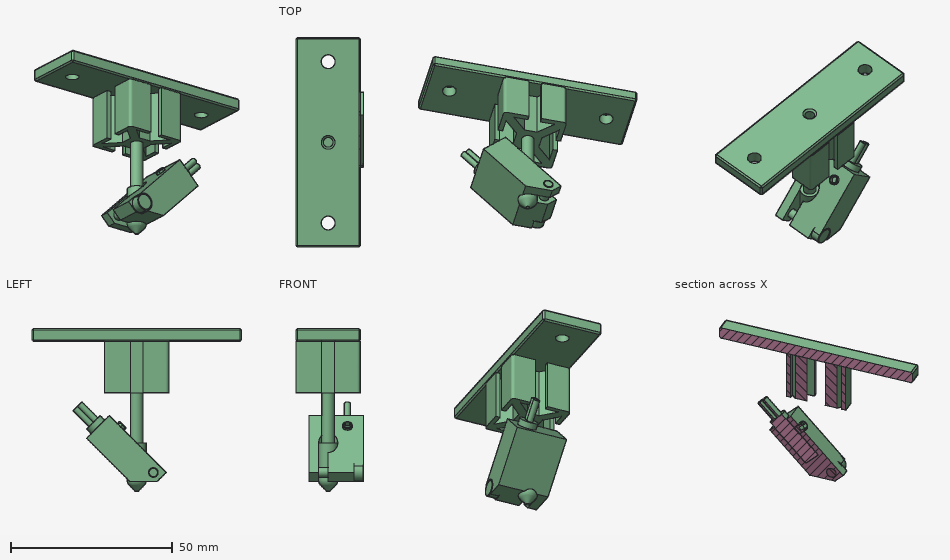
import cadquery as cq
import math


plate_width = 20.0
plate_length = 65.0
plate_thickness = 4.0
plate_chamfer = 0.5
mount_hole_diameter = 4.2
mount_hole_spacing = 50.05
center_hole_diameter = 3.0
center_hole_mouth_diameter = 4.2
countersink_angle = 90.0

extrusion_side = plate_width
extrusion_length = 16.0
extrusion_corner_radius = 1.0
slot_opening = 4.0
slot_lip = 1.5
slot_depth = 6.0
web_offset = 2.0
extrusion_bottom = -(plate_thickness + extrusion_length)

tube_diameter = 4.0
nozzle_diameter = 6.0
nozzle_top = -35.5
nozzle_tip = -50.5
nozzle_tip_radius = 0.5
nozzle_tip_angle = 45.0
nozzle_shoulder_radius = 2.0

block_tilt = 45.0
block_left = -6.0
block_right = 11.0
block_length = 25.0
block_thickness = 10.0
block_axis_crossing = 12.0
block_bottom = -47.5
block_width = block_right - block_left
clamp_gap = nozzle_diameter / 2

clamp_inset = 2.85
clamp_diameter = 3.0
clamp_end_chamfer = 0.2
clamp_head_diameter = 5.2
clamp_head_length = 3.0
clamp_recess_radius = clamp_inset

cartridge_x = 6.0
cartridge_diameter = 6.0
cartridge_depth = 15.0
cartridge_protrusion = 2.0
lead_diameter = 2.0
lead_spacing = 1.95
lead_length = 7.0
set_screw_diameter = 3.0
set_screw_protrusion = 1.0
set_screw_along = 5.0
set_screw_chamfer = 0.2
set_screw_socket = 2.15
set_screw_socket_depth = 1.5

tilt = math.radians(block_tilt)
along_direction = cq.Vector(0, -math.cos(tilt), -math.sin(tilt))
inward_direction = cq.Vector(0, math.sin(tilt), -math.cos(tilt))
block_corner = cq.Vector(0, 0, nozzle_top) - along_direction * block_axis_crossing


def block_point(x, along, inward):
    """Point at a given X, distance along the block and distance behind its front face."""
    return block_corner + cq.Vector(x, 0, 0) + along_direction * along + inward_direction * inward


def side_plane(x):
    """Plane across X whose local axes run along and into the block."""
    return cq.Workplane(cq.Plane(block_point(x, 0, 0), along_direction, (1, 0, 0)))


def tilted_cylinder(diameter, start, direction, length):
    """Cylinder that starts at a point and runs in a direction."""
    return cq.Workplane(cq.Plane(start, (1, 0, 0), direction)).circle(diameter / 2).extrude(length)


def make_plate():
    plate = (
        cq.Workplane("XY")
        .box(plate_width, plate_length, plate_thickness)
        .translate((0, 0, -plate_thickness / 2))
        .edges()
        .chamfer(plate_chamfer)
    )
    plate = plate.faces(">Z").workplane(origin=(0, 0, 0)).rarray(0.65, mount_hole_spacing, 1, 2)
    plate = plate.hole(mount_hole_diameter)
    return (
        plate.faces(">Z")
        .workplane(origin=(0, 0, 0))
        .cskHole(center_hole_diameter, center_hole_mouth_diameter, countersink_angle)
    )


def make_slot_cutter():
    """T-slot on the -Y side: a narrow opening, then a chamber that tapers to a flat floor."""
    half_opening = slot_opening / 2
    outside = -extrusion_side / 2
    lip = outside + slot_lip
    floor = outside + slot_depth
    right_half = [
        (half_opening, outside),
        (half_opening, lip),
        (-lip - web_offset, lip),
        (-floor - web_offset, floor),
    ]
    left_half = [(-x, y) for x, y in reversed(right_half)]
    return (
        cq.Workplane("XY", origin=(0, 0, extrusion_bottom))
        .polyline(right_half + left_half)
        .close()
        .extrude(extrusion_length)
    )


def make_extrusion():
    extrusion = (
        cq.Workplane("XY", origin=(0, 0, extrusion_bottom))
        .rect(extrusion_side, extrusion_side)
        .extrude(extrusion_length)
        .edges("|Z")
        .fillet(extrusion_corner_radius)
    )
    for angle in (0, 90, 180, 270):
        extrusion = extrusion.cut(make_slot_cutter().rotate((0, 0, 0), (0, 0, 1), angle))
    return extrusion.cut(make_tube())


def make_tube():
    """Tube from the underside of the plate down to the nozzle."""
    return (
        cq.Workplane("XY", origin=(0, 0, nozzle_top))
        .circle(tube_diameter / 2)
        .extrude(-plate_thickness - nozzle_top)
    )


def make_nozzle():
    """Cylinder with a conical tip and a rounded shoulder tangent to both."""
    radius = nozzle_diameter / 2
    turn = math.radians(nozzle_tip_angle)
    cone_radius = radius - nozzle_shoulder_radius * (1 - math.cos(turn))
    cone_top = nozzle_tip + (cone_radius - nozzle_tip_radius) / math.tan(turn)
    shoulder_top = cone_top + nozzle_shoulder_radius * math.sin(turn)
    arc_center = radius - nozzle_shoulder_radius
    arc_middle = (
        arc_center + nozzle_shoulder_radius * math.cos(turn / 2),
        shoulder_top - nozzle_shoulder_radius * math.sin(turn / 2),
    )
    return (
        cq.Workplane("XZ")
        .moveTo(0, nozzle_top)
        .lineTo(radius, nozzle_top)
        .lineTo(radius, shoulder_top)
        .threePointArc(arc_middle, (cone_radius, cone_top))
        .lineTo(nozzle_tip_radius, nozzle_tip)
        .lineTo(0, nozzle_tip)
        .close()
        .revolve(360, (0, 0, 0), (0, 1, 0))
    )


def make_clamp_shank():
    """Plain cylinder along X, as wide as the block."""
    along = block_length - clamp_inset
    return side_plane(block_left).center(along, clamp_inset).circle(clamp_diameter / 2).extrude(block_width)


def make_clamp_screw():
    """Headed screw along X, with its head at the right side of the block."""
    along = block_length - clamp_inset
    shank = make_clamp_shank().faces("<X").chamfer(clamp_end_chamfer)
    head = (
        side_plane(block_right - clamp_head_length)
        .center(along, clamp_inset)
        .circle(clamp_head_diameter / 2)
        .extrude(clamp_head_length)
        .faces(">X")
        .chamfer(clamp_end_chamfer)
    )
    return shank.union(head)


def make_cartridge():
    """Heater cartridge with its pair of leads on the outer end."""
    middle = block_thickness / 2
    outer_end = block_point(cartridge_x, -cartridge_protrusion, middle)
    cartridge = tilted_cylinder(
        cartridge_diameter, outer_end, along_direction, cartridge_protrusion + cartridge_depth
    )
    for side in (-1, 1):
        lead_start = outer_end + inward_direction * (side * lead_spacing / 2)
        cartridge = cartridge.union(
            tilted_cylinder(lead_diameter, lead_start, along_direction * -1, lead_length)
        )
    return cartridge


def make_set_screw():
    """Socket set screw from above the front face down to the cartridge."""
    tip_depth = (block_thickness - cartridge_diameter) / 2
    tip = block_point(cartridge_x, set_screw_along, tip_depth)
    outward = inward_direction * -1
    screw = (
        tilted_cylinder(set_screw_diameter, tip, outward, tip_depth + set_screw_protrusion)
        .faces(cq.selectors.DirectionMinMaxSelector(outward))
        .chamfer(set_screw_chamfer)
    )
    top = block_point(cartridge_x, set_screw_along, -set_screw_protrusion)
    socket = (
        cq.Workplane(cq.Plane(top, along_direction, inward_direction))
        .polygon(6, set_screw_socket, circumscribed=True)
        .extrude(set_screw_socket_depth)
    )
    return screw.cut(socket)


def make_block_blank():
    """Tilted block, cut off level at the bottom."""
    blank = side_plane(block_left).rect(block_length, block_thickness, centered=False).extrude(block_width)
    below_side = 2 * (block_length + block_thickness)
    below = (
        cq.Workplane("XY", origin=(0, 0, block_bottom))
        .rect(below_side, below_side)
        .extrude(-block_length)
    )
    return blank.cut(below)


def make_clamp_gap():
    """Gap from the nozzle bore out through the front of the block."""
    return (
        cq.Workplane("XY", origin=(-clamp_gap, -block_length, block_bottom))
        .box(clamp_gap, block_length, -block_bottom, centered=False)
    )


def make_head_recess():
    """Recess round the screw head, open toward the lower end of the block."""
    along = block_length - clamp_inset
    recess_floor = block_right - clamp_head_length
    round_end = (
        side_plane(recess_floor)
        .center(along, clamp_inset)
        .circle(clamp_recess_radius)
        .extrude(clamp_head_length)
    )
    open_end = (
        side_plane(recess_floor)
        .center(along + clamp_recess_radius, clamp_inset)
        .rect(2 * clamp_recess_radius, 2 * clamp_recess_radius)
        .extrude(clamp_head_length)
    )
    return round_end.union(open_end)


def make_block():
    bore = (
        cq.Workplane("XY", origin=(0, 0, block_bottom))
        .circle(nozzle_diameter / 2)
        .extrude(-block_bottom)
    )
    block = make_block_blank().cut(bore).cut(make_clamp_gap()).cut(make_head_recess())
    screw_mouth = block_point(cartridge_x, set_screw_along, 0)
    set_screw_hole = tilted_cylinder(
        set_screw_diameter, screw_mouth, inward_direction, block_thickness / 2
    )
    return block.cut(set_screw_hole).cut(make_cartridge()).cut(make_clamp_shank())


plate = make_plate()
extrusion = make_extrusion()
tube = make_tube()
nozzle = make_nozzle()
block = make_block()
clamp_screw = make_clamp_screw()
cartridge = make_cartridge()
set_screw = make_set_screw()

result = cq.Compound.makeCompound(
    [
        plate.val(),
        extrusion.val(),
        tube.val(),
        nozzle.val(),
        block.val(),
        clamp_screw.val(),
        cartridge.val(),
        set_screw.val(),
    ]
)